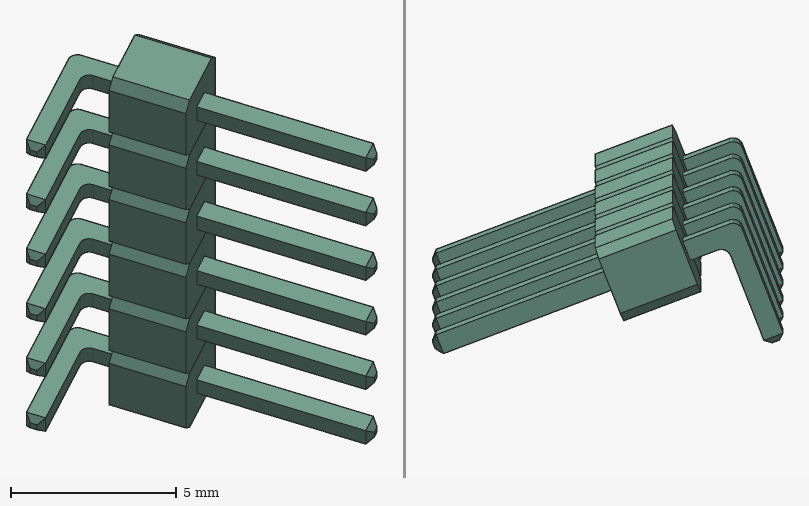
import cadquery as cq


contact_count = 6
column_height = 15.24
pitch = column_height / contact_count

block_length = 2.5
block_depth = 2.41
block_chamfer = 0.3

pin_width = 0.62
pin_reach_x = 10.01
total_depth = 4.82
bend_to_block = 1.81
bend_radius = 0.3
tip_chamfer = 0.2

half_pin = pin_width / 2
short_tip_y = block_depth / 2 - total_depth


def make_block():
    """Block with chamfered long edges, centred on Y = 0 and Z = 0."""
    return (
        cq.Workplane("XY")
        .box(block_length, block_depth, pitch, centered=(False, True, True))
        .edges("|X")
        .chamfer(block_chamfer)
        .translate((bend_to_block, 0, 0))
    )


def make_pin():
    """L-shaped square pin with a rounded bend and chamfered tips."""
    outline = [
        (0, half_pin),
        (pin_reach_x, half_pin),
        (pin_reach_x, -half_pin),
        (pin_width, -half_pin),
        (pin_width, short_tip_y),
        (0, short_tip_y),
    ]
    pin = cq.Workplane("XY").polyline(outline).close().extrude(half_pin, both=True)

    outer_corner = cq.selectors.NearestToPointSelector((0, half_pin, 0))
    inner_corner = cq.selectors.NearestToPointSelector((pin_width, -half_pin, 0))
    pin = pin.edges("|Z").edges(outer_corner).fillet(bend_radius)
    pin = pin.edges("|Z").edges(inner_corner).fillet(bend_radius)

    pin = pin.faces(">X").chamfer(tip_chamfer)
    return pin.faces("<Y").chamfer(tip_chamfer)


def make_contact(center_z):
    """One block and its pin as a single solid at the given height."""
    contact = make_block().union(make_pin()).translate((0, 0, center_z))
    return contact.solids().val()


lowest_center_z = (pitch - column_height) / 2
contacts = [make_contact(lowest_center_z + index * pitch) for index in range(contact_count)]

result = cq.Compound.makeCompound(contacts)